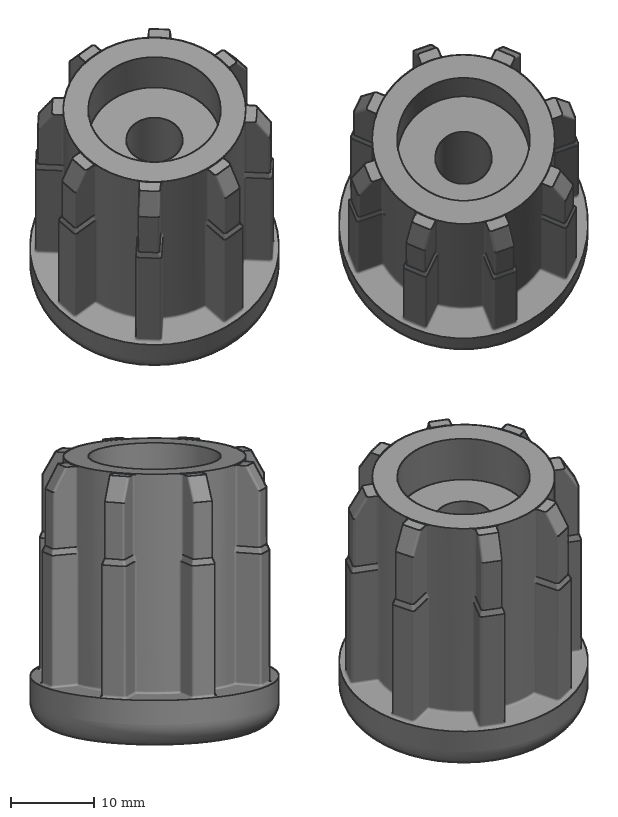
import cadquery as cq
import math

HEIGHT = 33.0
FLANGE_DIAMETER = 30.0
FLANGE_RADIUS = FLANGE_DIAMETER / 2
FLANGE_HEIGHT = 6.0
FLANGE_ROUND = FLANGE_HEIGHT / 2
BODY_RADIUS = 11.0

BORE_RADIUS = 8.0
BORE_DEPTH = 6.0
HOLE_RADIUS = 3.4

RIB_COUNT = 8
RIB_REACH = 14.02
RIB_HALF_WIDTH = 1.3
RIB_STEP = 0.25
LOWER_REACH = RIB_REACH + RIB_STEP
LOWER_HALF_WIDTH = RIB_HALF_WIDTH + RIB_STEP
SLOPE_BOTTOM = 22.25
SLOPE_TOP = 23.0
TIP_CUT_BOTTOM = 29.95
TIP_CUT_ANGLE = 30.0
RIB_TOP_GAP = 0.1
RIB_TOP = HEIGHT - RIB_TOP_GAP
EDGE_RADIUS = 0.3
ROOT_RADIUS = 0.3

RIB_ROOT = (BORE_RADIUS + BODY_RADIUS) / 2
RIB_BOTTOM = FLANGE_HEIGHT / 2

TRIM_ALLOWANCE = 0.65
BLANK_TOP = HEIGHT + TRIM_ALLOWANCE
TOLERANCE = 0.03


def make_body():
    """Round body standing on a wider flange with a rounded lower edge."""
    flange = cq.Workplane("XY").circle(FLANGE_RADIUS).extrude(FLANGE_HEIGHT)
    flange = flange.faces("<Z").edges().fillet(FLANGE_ROUND)
    return flange.union(cq.Workplane("XY").circle(BODY_RADIUS).extrude(BLANK_TOP))


def rib_section(height, reach, half_width):
    """Outline of a rib at a height, with its two outer corners rounded."""
    flat_reach = reach - EDGE_RADIUS
    flat_half_width = half_width - EDGE_RADIUS
    diagonal = EDGE_RADIUS * math.sqrt(0.5)
    return (
        cq.Workplane("XY", origin=(0, 0, height))
        .moveTo(RIB_ROOT, -half_width)
        .lineTo(flat_reach, -half_width)
        .threePointArc((flat_reach + diagonal, -flat_half_width - diagonal), (reach, -flat_half_width))
        .lineTo(reach, flat_half_width)
        .threePointArc((flat_reach + diagonal, flat_half_width + diagonal), (flat_reach, half_width))
        .lineTo(RIB_ROOT, half_width)
        .close()
    )


def make_rib():
    """One rib along +X: lower part, slope, and upper part with a slanted tip."""
    lower = rib_section(RIB_BOTTOM, LOWER_REACH, LOWER_HALF_WIDTH).extrude(SLOPE_BOTTOM - RIB_BOTTOM)

    slope_ends = [
        rib_section(SLOPE_BOTTOM, LOWER_REACH, LOWER_HALF_WIDTH).wires().val(),
        rib_section(SLOPE_TOP, RIB_REACH, RIB_HALF_WIDTH).wires().val(),
    ]
    slope = cq.Workplane(cq.Solid.makeLoft(slope_ends, True))

    tip_cut = (BLANK_TOP - TIP_CUT_BOTTOM) * math.tan(math.radians(TIP_CUT_ANGLE))
    upper = (
        cq.Workplane("XZ")
        .moveTo(RIB_ROOT, SLOPE_TOP)
        .lineTo(RIB_REACH, SLOPE_TOP)
        .lineTo(RIB_REACH, TIP_CUT_BOTTOM)
        .lineTo(RIB_REACH - tip_cut, BLANK_TOP)
        .lineTo(RIB_ROOT, BLANK_TOP)
        .close()
        .extrude(RIB_HALF_WIDTH, both=True)
    )
    upper = upper.edges("not(|X or |Y)").edges("not(<X)").fillet(EDGE_RADIUS)
    return lower.union(slope).union(upper)


def radius_at(point):
    """Distance of a point from the Z axis."""
    return math.hypot(point.x, point.y)


def is_root_edge(edge):
    """True for an inner corner where a rib, the body or the flange meet."""
    box = edge.BoundingBox()
    ends = (edge.startPoint(), edge.endPoint())
    bottom_gap = abs(box.zmin - FLANGE_HEIGHT)
    top_gap = abs(box.zmax - FLANGE_HEIGHT)
    on_flange_top = max(bottom_gap, top_gap) < TOLERANCE
    if on_flange_top:
        return all(radius_at(end) < FLANGE_RADIUS - TOLERANCE for end in ends)
    on_body = all(abs(radius_at(end) - BODY_RADIUS) < TOLERANCE for end in ends)
    return on_body and FLANGE_HEIGHT - TOLERANCE < box.zmin < BLANK_TOP - TOLERANCE


def trim_top(part):
    """Cut the body to its height and the ribs slightly below it."""
    above_ribs = (
        cq.Workplane("XY", origin=(0, 0, RIB_TOP))
        .circle(FLANGE_RADIUS)
        .circle(BODY_RADIUS)
        .extrude(2 * TRIM_ALLOWANCE)
    )
    above_body = (
        cq.Workplane("XY", origin=(0, 0, HEIGHT))
        .circle(FLANGE_RADIUS)
        .extrude(2 * TRIM_ALLOWANCE)
    )
    return part.cut(above_body).cut(above_ribs)


def make_bore():
    """Wide bore from the top with a smaller hole through the bottom."""
    bore = cq.Workplane("XY", origin=(0, 0, HEIGHT)).circle(BORE_RADIUS).extrude(-BORE_DEPTH)
    return bore.union(cq.Workplane("XY").circle(HOLE_RADIUS).extrude(HEIGHT))


part = make_body()
rib = make_rib()
for index in range(RIB_COUNT):
    part = part.union(rib.rotate((0, 0, 0), (0, 0, 1), index * 360 / RIB_COUNT))

root_edges = [edge for edge in part.edges().vals() if is_root_edge(edge)]
part = part.newObject(root_edges).fillet(ROOT_RADIUS)
result = trim_top(part).cut(make_bore())